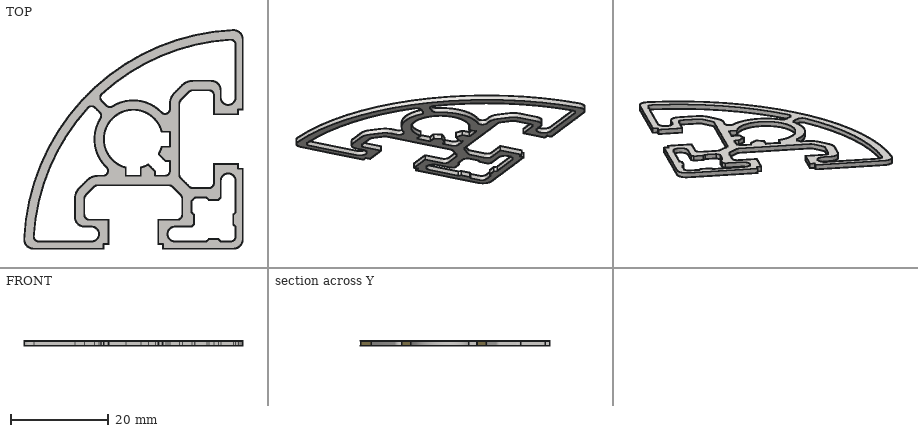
import cadquery as cq
import math


SIDE = 44.95
THICKNESS = 1.0
CORNER_RADIUS = 2.0
SKIN = 1.55
WEB = 2.0
SMALL_RADIUS = 1.0
CENTRE = 22.5
OUTER_RADIUS = CORNER_RADIUS + math.hypot(CORNER_RADIUS, SIDE - CORNER_RADIUS)
INNER_RADIUS = OUTER_RADIUS - WEB

MOUTH_HALF = 5.1
MOUTH_STEP = 1.0
LIP_DEPTH = 6.0
SLOT_DEPTH = 13.05
SLOT_HALF = 10.02
SLOT_CHAMFER = 2.3
WALL_DEPTH = SLOT_DEPTH + WEB
LIP_OUTER_RADIUS = 2.0

GROOVE_WIDTH = 3.0
GROOVE_END = MOUTH_HALF + WEB
GROOVE_INNER = SKIN + GROOVE_WIDTH

CORE_RADIUS = 6.02
RING_RADIUS = CORE_RADIUS + WEB
KEY_WIDTH = 3.0
STRUT_HALF = 1.0

CHAMBER_INNER = CENTRE - SLOT_HALF - WEB
CHAMBER_CHAMFER = 0.67
BUMP_HEIGHT = 0.5
BUMP_END = 7.45

CUT_OVERRUN = 0.45
CURVE_POINT_ANGLE = 70


def swapped(points):
    """Reflect points about the diagonal and reverse their order."""
    return [(y, x) for x, y in reversed(points)]


def rounded(solid, corners, radius):
    """Round the upright edges standing at the given corners."""
    for x, y in corners:
        edge = cq.selectors.NearestToPointSelector((x, y, THICKNESS / 2))
        solid = solid.edges("|Z").edges(edge).fillet(radius)
    return solid


def with_twin(solid):
    """Join a shape with its reflection about the diagonal."""
    return solid.union(solid.mirror((1, -1, 0)))


def on_diagonal_offset(start, radius):
    """Point where the strut side meets a circle centred on the diagonal at (start, start)."""
    along = math.sqrt(radius**2 - STRUT_HALF**2)
    return (
        start + (along - STRUT_HALF) / math.sqrt(2),
        start + (along + STRUT_HALF) / math.sqrt(2),
    )


def body():
    """Solid quarter disc with its three corners rounded."""
    middle = OUTER_RADIUS / math.sqrt(2)
    blank = (
        cq.Workplane()
        .lineTo(OUTER_RADIUS, 0)
        .threePointArc((middle, middle), (0, OUTER_RADIUS))
        .close()
        .extrude(THICKNESS)
    )
    return rounded(blank, [(0, 0), (OUTER_RADIUS, 0), (0, OUTER_RADIUS)], CORNER_RADIUS)


def t_slot():
    """Slot opening through the face at x = 0."""
    lip_corners = [(LIP_DEPTH, CENTRE + side * SLOT_HALF) for side in (-1, 1)]
    half = [
        (-CUT_OVERRUN, MOUTH_HALF + MOUTH_STEP),
        (MOUTH_STEP, MOUTH_HALF + MOUTH_STEP),
        (MOUTH_STEP, MOUTH_HALF),
        (LIP_DEPTH, MOUTH_HALF),
        (LIP_DEPTH, SLOT_HALF),
        (SLOT_DEPTH - SLOT_CHAMFER, SLOT_HALF),
        (SLOT_DEPTH, SLOT_HALF - SLOT_CHAMFER),
    ]
    outline = [(x, CENTRE + y) for x, y in half]
    outline += [(x, CENTRE - y) for x, y in reversed(half)]
    slot = cq.Workplane().polyline(outline).close().extrude(THICKNESS)
    chamfer_ends = [(x, CENTRE + side * y) for x, y in half[-2:] for side in (-1, 1)]
    return rounded(slot, lip_corners + chamfer_ends, SMALL_RADIUS)


def side_chamber():
    """Hollow between the curved wall, the ring and the slot along x = 0."""
    wall_top = CENTRE + SLOT_HALF + WEB
    wall_chamfer = SLOT_CHAMFER + WEB * (2 - math.sqrt(2))
    groove_tip = CENTRE + GROOVE_END
    groove_start = groove_tip + GROOVE_WIDTH / 2

    arc_corner = (SKIN, math.sqrt(INNER_RADIUS**2 - SKIN**2))
    lip_corner = (GROOVE_INNER, wall_top)
    chamfer_ends = [(WALL_DEPTH - wall_chamfer, wall_top), (WALL_DEPTH, wall_top - wall_chamfer)]
    core_offset = CENTRE - WALL_DEPTH
    ring_corner = (WALL_DEPTH, CENTRE + math.sqrt(RING_RADIUS**2 - core_offset**2))
    strut_inner = on_diagonal_offset(CENTRE, RING_RADIUS)
    strut_outer = on_diagonal_offset(0, INNER_RADIUS)

    curve_angle = math.radians(CURVE_POINT_ANGLE)
    curve_middle = (INNER_RADIUS * math.cos(curve_angle), INNER_RADIUS * math.sin(curve_angle))
    chamber = (
        cq.Workplane()
        .moveTo(*arc_corner)
        .lineTo(SKIN, groove_start)
        .threePointArc((SKIN + GROOVE_WIDTH / 2, groove_tip), (GROOVE_INNER, groove_start))
        .lineTo(*lip_corner)
        .lineTo(*chamfer_ends[0])
        .lineTo(*chamfer_ends[1])
        .lineTo(*ring_corner)
        .threePointArc((CENTRE, CENTRE + RING_RADIUS), strut_inner)
        .lineTo(*strut_outer)
        .threePointArc(curve_middle, arc_corner)
        .close()
        .extrude(THICKNESS)
    )
    chamber = rounded(chamber, [lip_corner], LIP_OUTER_RADIUS)
    chamber = rounded(chamber, chamfer_ends, SMALL_RADIUS + WEB)
    return rounded(chamber, [arc_corner, ring_corner, strut_inner, strut_outer], SMALL_RADIUS)


def corner_chamber():
    """Hollow at the square corner, with a groove running into each lip and low bumps on its walls."""
    groove_tip = CENTRE - GROOVE_END
    groove_start = groove_tip - GROOVE_WIDTH / 2
    groove_middle = SKIN + GROOVE_WIDTH / 2
    outer_wall = [
        (SKIN, SKIN),
        (SKIN, GROOVE_INNER),
        (SKIN + BUMP_HEIGHT, GROOVE_INNER + BUMP_HEIGHT),
        (SKIN + BUMP_HEIGHT, BUMP_END - BUMP_HEIGHT),
        (SKIN, BUMP_END),
        (SKIN, groove_start),
    ]
    inner_wall = [
        (GROOVE_INNER, groove_start),
        (GROOVE_INNER, CHAMBER_INNER),
        (GROOVE_INNER + BUMP_HEIGHT, CHAMBER_INNER - BUMP_HEIGHT),
        (BUMP_END - BUMP_HEIGHT, CHAMBER_INNER - BUMP_HEIGHT),
        (BUMP_END, CHAMBER_INNER),
        (CHAMBER_INNER - CHAMBER_CHAMFER, CHAMBER_INNER),
    ]
    chamber = (
        cq.Workplane()
        .polyline(outer_wall)
        .threePointArc((groove_middle, groove_tip), inner_wall[0])
        .polyline(inner_wall[1:] + swapped(inner_wall), includeCurrent=True)
        .threePointArc((groove_tip, groove_middle), (groove_start, SKIN))
        .polyline(swapped(outer_wall)[1:], includeCurrent=True)
        .close()
        .extrude(THICKNESS)
    )
    return rounded(chamber, [(SKIN, SKIN)], SMALL_RADIUS)


def core():
    """Round bore with two keyways and a diagonal slot that ends in a square pocket."""
    reach = CENTRE - WALL_DEPTH
    bore = cq.Workplane().center(CENTRE, CENTRE).circle(CORE_RADIUS).extrude(THICKNESS)
    keyway = (
        cq.Workplane()
        .center(CENTRE - reach / 2, CENTRE)
        .rect(reach, KEY_WIDTH)
        .extrude(THICKNESS)
    )
    pocket_middle = WALL_DEPTH + KEY_WIDTH / 2
    pocket = (
        cq.Workplane()
        .center(pocket_middle, pocket_middle)
        .rect(KEY_WIDTH, KEY_WIDTH)
        .extrude(THICKNESS)
    )
    pocket = rounded(pocket, [(WALL_DEPTH, WALL_DEPTH)], SMALL_RADIUS)
    slot_length = math.sqrt(2) * (CENTRE - pocket_middle)
    slot_middle = (CENTRE + pocket_middle) / 2
    diagonal_slot = (
        cq.Workplane()
        .center(slot_middle, slot_middle)
        .transformed(rotate=(0, 0, 45))
        .rect(slot_length, KEY_WIDTH)
        .extrude(THICKNESS)
    )
    return bore.union(with_twin(keyway)).union(pocket).union(diagonal_slot)


section = (
    body()
    .cut(with_twin(t_slot()))
    .cut(with_twin(side_chamber()))
    .cut(corner_chamber())
    .cut(core())
)

result = section.rotate((0, 0, 0), (0, 0, 1), 90)